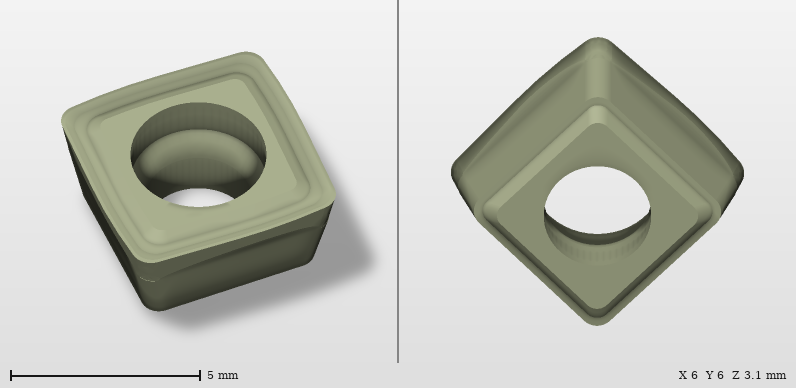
import cadquery as cq
import math


height = 3.1
rim_height = 2.99
groove_floor_height = 2.94
flank_break_height = 2.01
ledge_height = 0.305

rim_half = 3.0
side_arc_radius = 15.6
rim_corner = 0.54

land_width = 0.09
groove_floor_start = 0.29
groove_floor_end = 0.545
centre_face_inset = 0.88
groove_corner = 0.54
centre_face_corner = 0.3

upper_flank_inset = 0.155
lower_turn = 2.4
lower_top_half = 2.75
lower_bottom_half = 2.455
lower_corner = 0.48
relief_radius = 1.5
relief_length = 2 * rim_half

boss_top_half = 2.255
boss_bottom_half = 1.985
boss_corner = 0.36

counterbore_radius = 1.8
bore_radius = 1.42
counterbore_floor_height = 1.985
seat_radius = 0.9

SIDES = 4


def turned(point, side):
    """Turn a point about Z by a number of quarter turns."""
    x, y = point
    for _ in range(side):
        x, y = -y, x
    return x, y


def side_arc_point(half, along):
    """Point on the arc half of the +Y side, for a negative position along X."""
    radius = side_arc_radius - (rim_half - half)
    return along, half - radius + math.sqrt(radius ** 2 - along ** 2)


def rim_wire(inset, corner, z):
    """Closed rim outline moved inward by a distance, with rounded corners."""
    half = rim_half - inset
    corner_point = side_arc_point(half, -half)
    middle_point = side_arc_point(half, -half / 2)
    path = cq.Workplane("XY", origin=(0, 0, z)).moveTo(0, half)
    for side in range(SIDES):
        path = path.threePointArc(turned(middle_point, side), turned(corner_point, side))
        path = path.lineTo(*turned((0, half), side + 1))
    wire = path.wire().val()
    corners = [v for v in wire.Vertices() if min(abs(v.X), abs(v.Y)) > half / 2]
    return wire.fillet2D(corner, corners)


def square_wire(half, corner, z):
    """Rounded square, turned like the lower flank."""
    square = cq.Workplane("XY", origin=(0, 0, z)).rect(2 * half, 2 * half).wire().val()
    rounded = square.fillet2D(corner, square.Vertices())
    return rounded.rotate(cq.Vector(0, 0, 0), cq.Vector(0, 0, 1), lower_turn)


def loft(bottom, top):
    """Solid with straight sides between two outlines."""
    return cq.Workplane(cq.Solid.makeLoft([bottom, top], True))


def flank_relief():
    """Cylinder along the +Y side, tangent to the lower flank where the flanks meet."""
    rise = flank_break_height - ledge_height
    slope = math.atan2(lower_top_half - lower_bottom_half, rise)
    axis_y = lower_top_half + relief_radius * math.cos(slope)
    axis_z = flank_break_height - relief_radius * math.sin(slope)
    cylinder = cq.Workplane("YZ").center(axis_y, axis_z).circle(relief_radius)
    return cylinder.extrude(relief_length / 2, both=True)


def screw_hole():
    """Counterbore, rounded seat and bore as one turned shape."""
    seat_step = counterbore_radius - bore_radius
    seat_drop = math.sqrt(seat_radius ** 2 - (seat_radius - seat_step) ** 2)
    seat_bottom = counterbore_floor_height - seat_drop
    half_angle = math.asin(seat_drop / seat_radius) / 2
    seat_middle = (
        bore_radius + seat_radius * (1 - math.cos(half_angle)),
        seat_bottom + seat_radius * math.sin(half_angle),
    )
    profile = (
        cq.Workplane("XZ")
        .lineTo(bore_radius, 0)
        .lineTo(bore_radius, seat_bottom)
        .threePointArc(seat_middle, (counterbore_radius, counterbore_floor_height))
        .lineTo(counterbore_radius, height)
        .lineTo(0, height)
        .close()
    )
    return profile.revolve()


upper_body = loft(
    rim_wire(upper_flank_inset, rim_corner, flank_break_height),
    rim_wire(0, rim_corner, rim_height),
)
for side in range(SIDES):
    relief = flank_relief().rotate((0, 0, 0), (0, 0, 1), lower_turn + 360 / SIDES * side)
    upper_body = upper_body.cut(relief)

lower_body = loft(
    square_wire(lower_bottom_half, lower_corner, ledge_height),
    square_wire(lower_top_half, lower_corner, flank_break_height),
)
seating_boss = loft(
    square_wire(boss_bottom_half, boss_corner, 0),
    square_wire(boss_top_half, boss_corner, ledge_height),
)
chip_groove = loft(
    rim_wire(groove_floor_start, groove_corner, groove_floor_height),
    rim_wire(land_width, groove_corner, rim_height),
)
centre_pad = loft(
    rim_wire(groove_floor_end, groove_corner, groove_floor_height),
    rim_wire(centre_face_inset, centre_face_corner, height),
)

body = upper_body.cut(chip_groove).union(centre_pad)
body = body.union(lower_body).union(seating_boss)
result = body.cut(screw_hole())